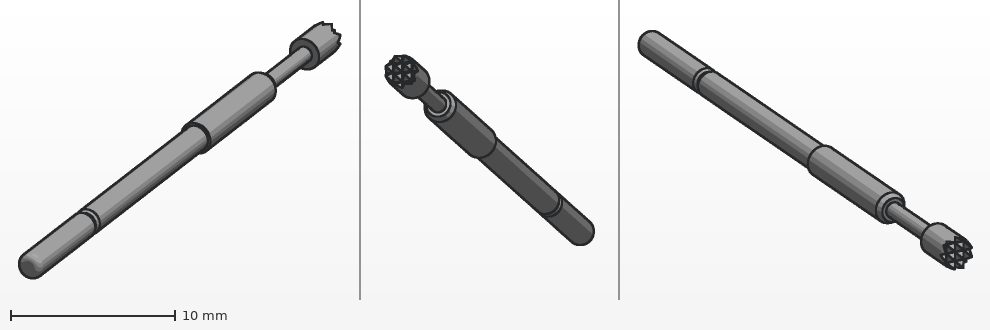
import cadquery as cq
import math

total_length = 39.3

barrel_radius = 0.825
tail_fillet = 0.4

groove_start = 7.2
groove_width = 0.6
groove_depth = 0.125

collar_radius = 1.0
collar_start = 22.0
collar_length = 9.0
collar_nose_angle = 30
collar_nose_length = 0.4

rod_radius = 0.5
head_radius = 1.0
head_length = 3.0

tooth_pitch = 0.6
groove_angle = 60
crown_tip_radius = 0.95
crown_taper_length = 0.5

collar_end = collar_start + collar_length
head_start = total_length - head_length


def make_body():
    """Revolve the stepped profile (radius along X, length along Y) about the Y axis."""
    groove_middle = groove_start + groove_width / 2
    groove_end = groove_start + groove_width
    arc_shift = math.sqrt(0.5)
    tail_arc_middle = (
        barrel_radius - tail_fillet + tail_fillet * arc_shift,
        tail_fillet - tail_fillet * arc_shift,
    )
    nose_radius = collar_radius - collar_nose_length * math.tan(math.radians(collar_nose_angle))
    profile = (
        cq.Workplane("XY")
        .lineTo(barrel_radius - tail_fillet, 0)
        .threePointArc(tail_arc_middle, (barrel_radius, tail_fillet))
        .lineTo(barrel_radius, groove_start)
        .lineTo(barrel_radius - groove_depth, groove_middle)
        .lineTo(barrel_radius, groove_end)
        .lineTo(barrel_radius, collar_start)
        .lineTo(collar_radius, collar_start)
        .lineTo(collar_radius, collar_end - collar_nose_length)
        .lineTo(nose_radius, collar_end)
        .lineTo(rod_radius, collar_end)
        .lineTo(rod_radius, head_start)
        .lineTo(head_radius, head_start)
        .lineTo(head_radius, total_length - crown_taper_length)
        .lineTo(crown_tip_radius, total_length)
        .lineTo(0, total_length)
        .close()
    )
    return profile.revolve(360, (0, 0, 0), (0, 1, 0))


def cut_v_groove(body, offset, turn):
    """Cut one straight V groove across the crown, offset from the axis and turned about Y."""
    half_width = tooth_pitch / 2
    depth = half_width / math.tan(math.radians(groove_angle / 2))
    run = 4 * head_radius
    groove = (
        cq.Workplane("YZ", origin=(-run / 2, 0, 0))
        .moveTo(total_length - depth, offset)
        .lineTo(total_length, offset + half_width)
        .lineTo(total_length, offset - half_width)
        .close()
        .extrude(run)
        .rotate((0, 0, 0), (0, 1, 0), turn)
    )
    return body.cut(groove)


def cut_crown(body):
    """Cut both sets of parallel grooves, leaving the pyramid teeth."""
    for turn in (0, 90):
        for row in (-1, 0, 1):
            body = cut_v_groove(body, row * tooth_pitch, turn)
    return body


result = cut_crown(make_body())